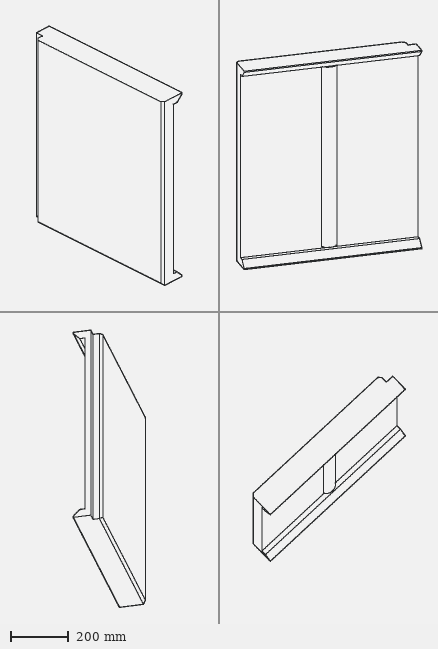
import cadquery as cq

width = 649.0
depth = 96.5
height = 743.0

step_width = 30.5
step_depth = 33.0
front_chamfer = 10.0

web_back = 54.0
flange_thickness = 29.0
flange_lip = 4.5
flange_slope = 24.5

rib_radius = 34.0
rib_height = 15.0
rib_end_gap = 5.0
rib_root = 7.5


def make_body():
    """Slab with two sloped flanges along its back, extruded across the width."""
    slope_start = depth - flange_slope
    lower = [
        (0, 0),
        (depth, 0),
        (depth, flange_lip),
        (slope_start, flange_thickness),
        (web_back, flange_thickness),
    ]
    upper = [(y, height - z) for y, z in reversed(lower)]
    return cq.Workplane("YZ").polyline(lower + upper).close().extrude(width)


def make_rib():
    """Segment of a vertical cylinder that rises above the back of the web."""
    end = flange_thickness + rib_end_gap
    length = height - 2 * end
    center_y = web_back + rib_height - rib_radius
    cylinder = (
        cq.Workplane("XY", origin=(width / 2, center_y, end))
        .circle(rib_radius)
        .extrude(length)
    )
    keep = cq.Workplane("XY").box(width, depth, height, centered=False)
    keep = keep.translate((0, web_back - rib_root, 0))
    return cylinder.intersect(keep)


rebate = cq.Workplane("XY").box(step_width, step_depth, height, centered=False)
body = make_body().cut(rebate)

body = body.faces("<Y").edges("<X or >X or <Z").chamfer(front_chamfer)

result = body.union(make_rib())